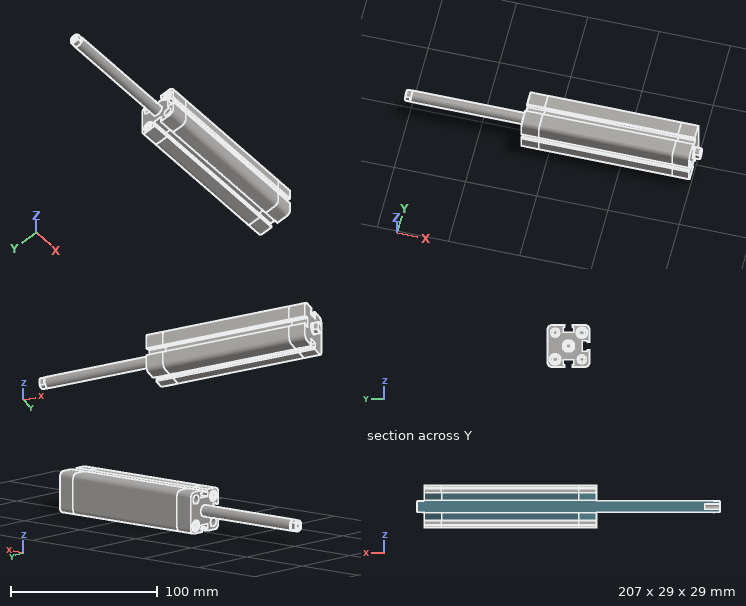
import cadquery as cq
import math


total_length = 207.0
front_face_x = 84.2
tube_start_x = 96.7
tube_end_x = 190.2
rear_face_x = 202.0

section_width = 29.0
corner_radius = 3.7

slot_half_opening = 5.4 / 2
slot_half_width = 7.0 / 2
slot_lip_depth = 1.5
slot_shoulder_depth = slot_lip_depth + slot_half_width - slot_half_opening
slot_depth = 5.0
slot_angles = (0, 90, 180)

fastening_offset = 9.1
mounting_hole_radius = 6.0 / 2
mounting_hole_depth = 6.2
pilot_hole_radius = 1.7
screw_recess_depth = 0.6
screw_recess_radius = 3.7
screw_head_radius = 3.1
screw_socket_width = 3.5
screw_socket_depth = 2.0

rod_radius = 8.0 / 2
tip_radius = 7.9 / 2
tip_half_flat = 6.0 / 2
shoulder_chamfer = 0.8
front_shoulder_x = 4.3
rear_shoulder_x = 202.7
tip_chamfer = 0.52
rod_hole_radius = 3.5 / 2
rod_hole_chamfer = 0.5
rod_hole_depth = 10.4


def slot_cutter(start_x, end_x, angle):
    """One slot through the given length, turned about X from the +Z side."""
    side = section_width / 2
    half_outline = [
        (slot_half_opening, side),
        (slot_half_opening, side - slot_lip_depth),
        (slot_half_width, side - slot_shoulder_depth),
        (slot_half_width, side - slot_depth),
    ]
    other_half = [(-y, z) for y, z in reversed(half_outline)]
    cutter = (
        cq.Workplane("YZ", origin=(start_x, 0, 0))
        .polyline(half_outline + other_half)
        .close()
        .extrude(end_x - start_x)
    )
    return cutter.rotate((0, 0, 0), (1, 0, 0), angle)


def slotted_block(start_x, end_x):
    """Rounded square block with the slots and the rod bore through it."""
    length = end_x - start_x
    block = (
        cq.Workplane("YZ", origin=(start_x, 0, 0))
        .rect(section_width, section_width)
        .extrude(length)
        .edges("|X")
        .fillet(corner_radius)
    )
    for angle in slot_angles:
        block = block.cut(slot_cutter(start_x, end_x, angle))
    return block.cut(cq.Workplane("YZ", origin=(start_x, 0, 0)).circle(rod_radius).extrude(length))


def mounting_hole(y, z):
    """Stepped hole: a wide mouth, then a pilot hole through the rest of the cap."""
    face = cq.Workplane("YZ", origin=(front_face_x, y, z))
    mouth = face.circle(mounting_hole_radius).extrude(mounting_hole_depth)
    pilot = face.circle(pilot_hole_radius).extrude(tube_start_x - front_face_x)
    return mouth.union(pilot)


def screw_head_relief(y, z):
    """Round recess whose floor is a bevelled screw head with a hexagonal socket."""
    bevel_depth = screw_recess_radius - screw_head_radius
    head_x = front_face_x + screw_recess_depth
    head = cq.Solid.makeCone(
        screw_head_radius,
        screw_recess_radius,
        bevel_depth,
        pnt=cq.Vector(head_x, y, z),
        dir=cq.Vector(1, 0, 0),
    )
    recess = (
        cq.Workplane("YZ", origin=(front_face_x, y, z))
        .circle(screw_recess_radius)
        .extrude(screw_recess_depth + bevel_depth)
        .cut(cq.Workplane(head))
    )
    socket = (
        cq.Workplane("YZ", origin=(head_x, y, z))
        .transformed(rotate=(0, 0, 90))
        .polygon(6, screw_socket_width / math.cos(math.pi / 6))
        .extrude(screw_socket_depth)
    )
    return recess.union(socket)


def make_front_cap():
    cap = slotted_block(front_face_x, tube_start_x)
    for side in (1, -1):
        offset = side * fastening_offset
        cap = cap.cut(mounting_hole(offset, offset))
        cap = cap.cut(screw_head_relief(offset, -offset))
    return cap


def revolved(outline):
    """Solid of revolution about X from (x, radius) points."""
    return cq.Workplane("XZ").polyline(outline).close().revolve(360, (0, 0, 0), (1, 0, 0))


def make_rod():
    """Rod with bevelled shoulders, flatted tips and a hole in its front end."""
    front_neck_x = front_shoulder_x - shoulder_chamfer
    rear_neck_x = rear_shoulder_x + shoulder_chamfer
    shaft = revolved([
        (front_neck_x, 0),
        (front_neck_x, rod_radius - shoulder_chamfer),
        (front_shoulder_x, rod_radius),
        (rear_shoulder_x, rod_radius),
        (rear_neck_x, rod_radius - shoulder_chamfer),
        (rear_neck_x, 0),
    ])
    tips = revolved([
        (0, 0),
        (0, tip_radius - tip_chamfer),
        (tip_chamfer, tip_radius),
        (total_length - tip_chamfer, tip_radius),
        (total_length, tip_radius - tip_chamfer),
        (total_length, 0),
    ])
    flats = cq.Workplane("XY").box(
        total_length, 2 * tip_half_flat, 2 * rod_radius, centered=(False, True, True)
    )
    hole = revolved([
        (0, 0),
        (0, rod_hole_radius + rod_hole_chamfer),
        (rod_hole_chamfer, rod_hole_radius),
        (rod_hole_depth, rod_hole_radius),
        (rod_hole_depth, 0),
    ])
    return shaft.union(tips.intersect(flats)).cut(hole)


front_cap = make_front_cap()
tube = slotted_block(tube_start_x, tube_end_x)
rear_cap = slotted_block(tube_end_x, rear_face_x)
rod = make_rod()

result = cq.Compound.makeCompound([front_cap.val(), tube.val(), rear_cap.val(), rod.val()])